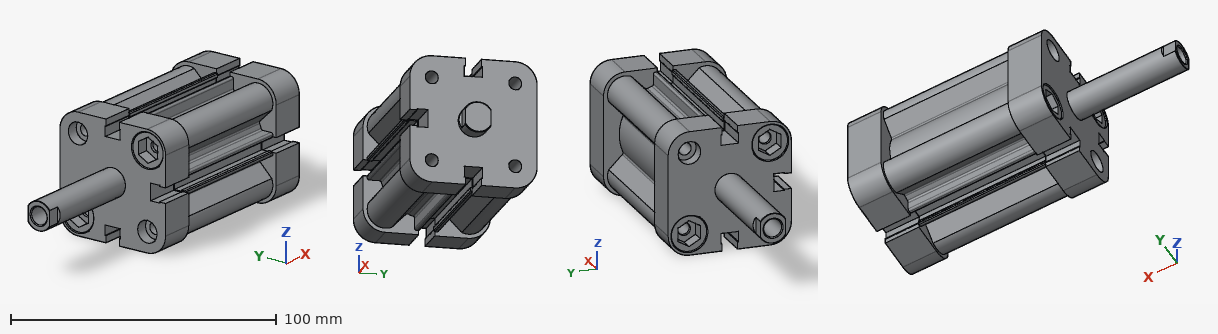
import cadquery as cq
import math

CAP_SIDE = 49.5
CAP_LENGTH = 14.7
HOUSING_LENGTH = 84.8
CORNER_SPACING = 32.4
CAP_CORNER_RADIUS = 8.6

CAP_SLOT_WIDTH = 6.2
CAP_SLOT_INNER_WIDTH = 7.0
CAP_SLOT_LIP_DEPTH = 2.9
CAP_SLOT_DEPTH = 7.0

TUBE_RADIUS = 18.4
LOBE_RADIUS = 6.9
LOBE_WIDTH = 12.7
VALLEY_FILLET = 1.0
RAIL_WIDTH = 9.4
RAIL_TOP_FILLET = 0.8
RAIL_FOOT_FILLET = 0.8
RAIL_SLOT_WIDTH = 6.2
RAIL_LIP_WIDTH = 5.4
RAIL_LIP_LENGTH = 1.4
RAIL_LIP_CHAMFER = 0.4
RAIL_SLOT_FLOOR = 18.0

PASSAGE_DIAMETER = 5.0
CORNER_HOLE_DIAMETER = 9.0
CORNER_HOLE_DEPTH = 5.0
RECESS_DIAMETER = 14.8
RECESS_DEPTH = 6.9
SCREW_DIAMETER = 14.1
SCREW_SINK = 0.4
HEX_ACROSS_FLATS = CORNER_HOLE_DIAMETER
HEX_DEPTH = 5.3

ROD_LENGTH = 138.5
ROD_FRONT_OVERHANG = 46.8
ROD_DIAMETER = 11.9
FLAT_SPACING = 10.0
FLAT_LENGTH = 5.1
FLAT_RAMP = 0.4
ROD_FRONT_CHAMFER = 0.1
ROD_REAR_CHAMFER = 0.3
THREAD_HOLE_DIAMETER = 7.2
THREAD_HOLE_DEPTH = 16.6
THREAD_HOLE_CHAMFER = 0.4
DRILL_TIP_ANGLE = 118.0

CORNER_OFFSET = CORNER_SPACING / 2
RAIL_TOP = CORNER_OFFSET + LOBE_RADIUS
SCREW_LENGTH = RECESS_DEPTH - SCREW_SINK
BARREL_LENGTH = HOUSING_LENGTH - 2 * CAP_LENGTH
SLOT_TURNS = (0, 90, 180)
LOBE_TURNS = (45, 135, 225, 315)
SCREW_CORNERS = ((-CORNER_OFFSET, CORNER_OFFSET), (CORNER_OFFSET, -CORNER_OFFSET))
OPEN_CORNERS = ((-CORNER_OFFSET, -CORNER_OFFSET), (CORNER_OFFSET, CORNER_OFFSET))


def section(x):
    """Workplane across the cylinder axis: local x is +Y, local y is +Z, and it faces +X."""
    return cq.Workplane("YZ", origin=(x, 0, 0))


def turned(shape, angle):
    """The shape turned about the cylinder axis."""
    return shape.rotate((0, 0, 0), (1, 0, 0), angle)


def make_cap(x):
    """Square end cap with rounded corners and a stepped slot on the +Z, -Y and -Z sides."""
    cap = section(x).rect(CAP_SIDE, CAP_SIDE).extrude(CAP_LENGTH).edges("|X").fillet(CAP_CORNER_RADIUS)
    top = CAP_SIDE / 2
    lip_bottom = top - CAP_SLOT_LIP_DEPTH
    floor = top - CAP_SLOT_DEPTH
    half = CAP_SLOT_WIDTH / 2
    half_inner = CAP_SLOT_INNER_WIDTH / 2
    slot = (
        section(x)
        .polyline([
            (-half, top), (-half, lip_bottom), (-half_inner, lip_bottom), (-half_inner, floor),
            (half_inner, floor), (half_inner, lip_bottom), (half, lip_bottom), (half, top),
        ])
        .close()
        .extrude(CAP_LENGTH)
    )
    for angle in SLOT_TURNS:
        cap = cap.cut(turned(slot, angle))
    return cap


def make_lobe():
    """Flat-sided rib from the axis towards +Z, ending in a round nose."""
    centre = CORNER_OFFSET * math.sqrt(2)
    half = LOBE_WIDTH / 2
    shoulder = centre + math.sqrt(LOBE_RADIUS**2 - half**2)
    return (
        section(CAP_LENGTH)
        .moveTo(-half, 0)
        .lineTo(-half, shoulder)
        .threePointArc((0, centre + LOBE_RADIUS), (half, shoulder))
        .lineTo(half, 0)
        .close()
        .extrude(BARREL_LENGTH)
    )


def make_rail():
    """Rail block from the axis towards +Z, its top edges rounded."""
    return (
        section(CAP_LENGTH)
        .center(0, RAIL_TOP / 2)
        .rect(RAIL_WIDTH, RAIL_TOP)
        .extrude(BARREL_LENGTH)
        .edges("|X and >Z")
        .fillet(RAIL_TOP_FILLET)
    )


def make_rail_slot():
    """Slot of a rail: chamfered entrance, narrow lips and a wider space below them."""
    half = RAIL_SLOT_WIDTH / 2
    half_lip = RAIL_LIP_WIDTH / 2
    lip_top = RAIL_TOP - RAIL_LIP_CHAMFER
    lip_bottom = lip_top - RAIL_LIP_LENGTH
    half_entrance = half_lip + RAIL_LIP_CHAMFER
    return (
        section(CAP_LENGTH)
        .polyline([
            (-half_entrance, RAIL_TOP), (-half_lip, lip_top), (-half_lip, lip_bottom),
            (-half, lip_bottom), (-half, RAIL_SLOT_FLOOR), (half, RAIL_SLOT_FLOOR),
            (half, lip_bottom), (half_lip, lip_bottom), (half_lip, lip_top),
            (half_entrance, RAIL_TOP),
        ])
        .close()
        .extrude(BARREL_LENGTH)
    )


def edges_at_radius(shape, radius, tolerance=0.07):
    """Edges along X whose distance from the cylinder axis is the given radius."""
    found = [
        edge for edge in shape.edges("|X").vals()
        if abs(math.hypot(edge.Center().y, edge.Center().z) - radius) < tolerance
    ]
    return shape.newObject(found)


def make_barrel():
    barrel = section(CAP_LENGTH).circle(TUBE_RADIUS).extrude(BARREL_LENGTH)
    for angle in LOBE_TURNS:
        barrel = barrel.union(turned(make_lobe(), angle))
    barrel = edges_at_radius(barrel, TUBE_RADIUS).fillet(VALLEY_FILLET)
    for angle in SLOT_TURNS:
        barrel = barrel.union(turned(make_rail(), angle))
    barrel = edges_at_radius(barrel, TUBE_RADIUS).fillet(RAIL_FOOT_FILLET)
    for angle in SLOT_TURNS:
        barrel = barrel.cut(turned(make_rail_slot(), angle))
    return barrel


def make_housing():
    housing = make_cap(0).union(make_barrel()).union(make_cap(HOUSING_LENGTH - CAP_LENGTH))
    all_corners = SCREW_CORNERS + OPEN_CORNERS
    passages = section(0).pushPoints(all_corners).circle(PASSAGE_DIAMETER / 2).extrude(HOUSING_LENGTH)
    corner_holes = (
        section(0).pushPoints(OPEN_CORNERS).circle(CORNER_HOLE_DIAMETER / 2).extrude(CORNER_HOLE_DEPTH)
    )
    recesses = section(0).pushPoints(SCREW_CORNERS).circle(RECESS_DIAMETER / 2).extrude(RECESS_DEPTH)
    rod_hole = section(0).circle(ROD_DIAMETER / 2).extrude(HOUSING_LENGTH)
    return housing.cut(passages).cut(corner_holes).cut(recesses).cut(rod_hole)


def make_end_flats():
    """Material to remove for the two flats at the front end, with a ramp up to the full diameter."""
    inner = FLAT_SPACING / 2
    outer = ROD_DIAMETER / 2
    front = -ROD_FRONT_OVERHANG
    flat = (
        cq.Workplane("XY")
        .polyline([
            (front, inner), (front + FLAT_LENGTH, inner),
            (front + FLAT_LENGTH + FLAT_RAMP, outer), (front, outer),
        ])
        .close()
        .extrude(ROD_DIAMETER / 2, both=True)
    )
    return flat.union(flat.mirror("XZ"))


def make_rod():
    rod = section(-ROD_FRONT_OVERHANG).circle(ROD_DIAMETER / 2).extrude(ROD_LENGTH)
    rod = rod.faces("<X").chamfer(ROD_FRONT_CHAMFER).faces(">X").chamfer(ROD_REAR_CHAMFER)
    flats = make_end_flats()
    middle = ROD_LENGTH / 2 - ROD_FRONT_OVERHANG
    rod = rod.cut(flats).cut(flats.mirror("YZ", (middle, 0, 0)))
    radius = THREAD_HOLE_DIAMETER / 2
    mouth = radius + THREAD_HOLE_CHAMFER
    tip = radius / math.tan(math.radians(DRILL_TIP_ANGLE / 2))
    front = -ROD_FRONT_OVERHANG
    thread_hole = (
        cq.Workplane("XY")
        .polyline([
            (front, 0), (front, mouth), (front + THREAD_HOLE_CHAMFER, radius),
            (front + THREAD_HOLE_DEPTH, radius), (front + THREAD_HOLE_DEPTH + tip, 0),
        ])
        .close()
        .revolve(360, (0, 0, 0), (1, 0, 0))
    )
    return rod.cut(thread_hole)


def make_screw(y, z):
    """Hollow screw on the floor of its recess, its face just below the cap face; hexagon socket and bore."""
    workplane = section(SCREW_SINK).center(y, z)
    body = workplane.circle(SCREW_DIAMETER / 2).extrude(SCREW_LENGTH)
    across_corners = HEX_ACROSS_FLATS / math.cos(math.pi / 6)
    socket = workplane.transformed(rotate=(0, 0, 30)).polygon(6, across_corners).extrude(HEX_DEPTH)
    bore = workplane.circle(PASSAGE_DIAMETER / 2).extrude(SCREW_LENGTH)
    return body.cut(socket).cut(bore)


housing = make_housing()
rod = make_rod()
screws = [make_screw(y, z).val() for y, z in SCREW_CORNERS]

result = cq.Compound.makeCompound([housing.val(), rod.val(), *screws])